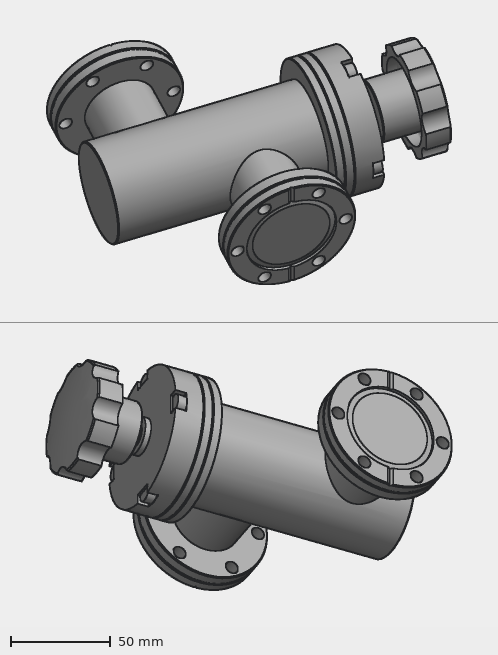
import cadquery as cq
import math


tube_radius = 26.92
edge_chamfer = 0.5

flange_face = 62.45
flange_radius = 34.7
flange_thickness = 12.5
port_radius = 18.97
left_port_y = flange_radius - 3.0
right_port_y = left_port_y + 47.7
seam_width = 1.0
seam_inset = 6.0
seam_depth = 0.5
seal_outer_radius = 24.2
seal_inner_radius = 21.0
seal_depth = 1.9
seal_land_depth = 0.7
bolt_circle_radius = 29.2
bolt_hole_radius = 3.42
bolt_hole_count = 6
leak_groove_width = 3.0
leak_groove_depth = 1.1

collar_radius = 37.8
collar_bottom = 113.6
collar_top = 139.7
collar_seams = (118.6, 123.8)
collar_seam_width = 0.7
collar_chamfer = 0.4
notch_width = 11.0
notch_depth = 6.1
notch_reach = 5.5
screw_count = 4
screw_radius = 5.0
screw_outer_reach = 38.3
screw_gap = 1.1

washer_radius = 9.9
washer_height = 3.1
nut_radius = 6.0
nut_height = 3.7
neck_radius = 5.09

hub_radius = 16.5
hub_bottom = 147.7
rim_bottom = 165.5
knob_top = 185 - 3.0
knob_radius = 29.89
crown_radius = 148.0
rim_chamfer = 0.7
lobe_count = 8
flute_radius = 7.4
flute_bottom_radius = 26.5
cavity_radius = 23.5
cavity_depth = 7.4
cavity_fillet = 1.9


def disc(radius, y_start, y_end):
    """Cylinder on the body axis between two heights."""
    return cq.Workplane("XZ", origin=(0, y_start, 0)).circle(radius).extrude(y_start - y_end)


def ring_groove(radius, centre, width, depth):
    """Ring to cut from the outside of a disc."""
    outer = disc(radius + depth, centre - width / 2, centre + width / 2)
    return outer.cut(disc(radius - depth, centre - width / 2, centre + width / 2))


def make_port(port_y, turn):
    """Port tube and flange along +X, turned about Y by the given angle."""
    flange_back = flange_face - flange_thickness
    flange = cq.Workplane("YZ", origin=(flange_back, 0, 0)).circle(flange_radius).extrude(flange_thickness)
    flange = flange.edges().chamfer(edge_chamfer)

    seam = (
        cq.Workplane("YZ", origin=(flange_face - seam_inset - seam_width / 2, 0, 0))
        .circle(flange_radius + seam_depth)
        .circle(flange_radius - seam_depth)
        .extrude(seam_width)
    )
    face = cq.Workplane("YZ", origin=(flange_face, 0, 0))
    seal = (
        cq.Workplane("XY")
        .moveTo(flange_face, 0)
        .lineTo(flange_face, seal_outer_radius)
        .lineTo(flange_face - seal_depth, seal_outer_radius)
        .lineTo(flange_face - seal_land_depth, seal_inner_radius)
        .lineTo(flange_face - seal_land_depth, 0)
        .close()
        .revolve(360, (0, 0, 0), (1, 0, 0))
    )
    bolt_holes = (
        face.polarArray(bolt_circle_radius, 0, 360, bolt_hole_count)
        .circle(bolt_hole_radius)
        .extrude(-flange_thickness)
    )
    leak_grooves = (
        cq.Workplane("XY")
        .moveTo(flange_face, -leak_groove_width / 2)
        .lineTo(flange_face - leak_groove_depth, 0)
        .lineTo(flange_face, leak_groove_width / 2)
        .close()
        .extrude(flange_radius, both=True)
        .cut(cq.Workplane("YZ").circle(seal_outer_radius).extrude(flange_face))
    )
    flange = flange.cut(seam).cut(seal).cut(bolt_holes).cut(leak_grooves)

    pipe = cq.Workplane("YZ").circle(port_radius).extrude(flange_back)
    return pipe.union(flange).rotate((0, 0, 0), (0, 1, 0), turn).translate((0, port_y, 0))


def make_collar():
    """Bonnet collar with seam grooves and screws standing in open notches."""
    collar = disc(collar_radius, collar_bottom, collar_top).faces("<Y").edges().chamfer(collar_chamfer)
    for seam_y in collar_seams:
        collar = collar.cut(ring_groove(collar_radius, seam_y, collar_seam_width, seam_depth))

    screw_offset = screw_outer_reach - screw_radius
    notch_floor = collar_top - notch_depth
    notch = cq.Workplane("XY").box(2 * notch_reach, notch_depth, notch_width).translate(
        (collar_radius, collar_top - notch_depth / 2, 0)
    )
    screw = disc(screw_radius, notch_floor, collar_top - screw_gap).translate((screw_offset, 0, 0))
    for index in range(screw_count):
        turn = index * 360 / screw_count
        collar = collar.cut(notch.rotate((0, 0, 0), (0, 1, 0), turn))
        collar = collar.union(screw.rotate((0, 0, 0), (0, 1, 0), turn))
    return collar


def make_stem():
    """Washer, nut and neck joining the collar to the knob."""
    washer_top = collar_top + washer_height
    nut_top = washer_top + nut_height
    washer = disc(washer_radius, collar_top, washer_top)
    nut = disc(nut_radius, washer_top, nut_top)
    return washer.union(nut).union(disc(neck_radius, nut_top, hub_bottom))


def make_knob():
    """Domed, fluted knob with a ring cavity around its hub."""
    def crown_y(radius):
        return knob_top - crown_radius + math.sqrt(crown_radius**2 - radius**2)

    crown_edge = knob_radius - rim_chamfer
    cavity_floor = rim_bottom + cavity_depth
    head = (
        cq.Workplane("XY")
        .moveTo(0, rim_bottom)
        .lineTo(knob_radius, rim_bottom)
        .lineTo(knob_radius, crown_y(crown_edge) - rim_chamfer)
        .lineTo(crown_edge, crown_y(crown_edge))
        .threePointArc((crown_edge / 2, crown_y(crown_edge / 2)), (0, knob_top))
        .close()
        .revolve(360, (0, 0, 0), (0, 1, 0))
    )
    flutes = (
        cq.Workplane("XZ", origin=(0, rim_bottom, 0))
        .polarArray(flute_bottom_radius + flute_radius, 180 / lobe_count, 360, lobe_count)
        .circle(flute_radius)
        .extrude(rim_bottom - knob_top)
    )
    cavity = disc(cavity_radius, rim_bottom, cavity_floor).cut(disc(hub_radius, rim_bottom, cavity_floor))
    cavity = cavity.faces(">Y").edges().fillet(cavity_fillet)
    hub = disc(hub_radius, hub_bottom, cavity_floor).faces("<Y").edges().chamfer(edge_chamfer)
    return head.cut(flutes).cut(cavity).union(hub)


tube = disc(tube_radius, 0, collar_bottom).faces("<Y").edges().chamfer(edge_chamfer)
result = (
    tube.union(make_port(left_port_y, 180))
    .union(make_port(right_port_y, 0))
    .union(make_collar())
    .union(make_stem())
    .union(make_knob())
)